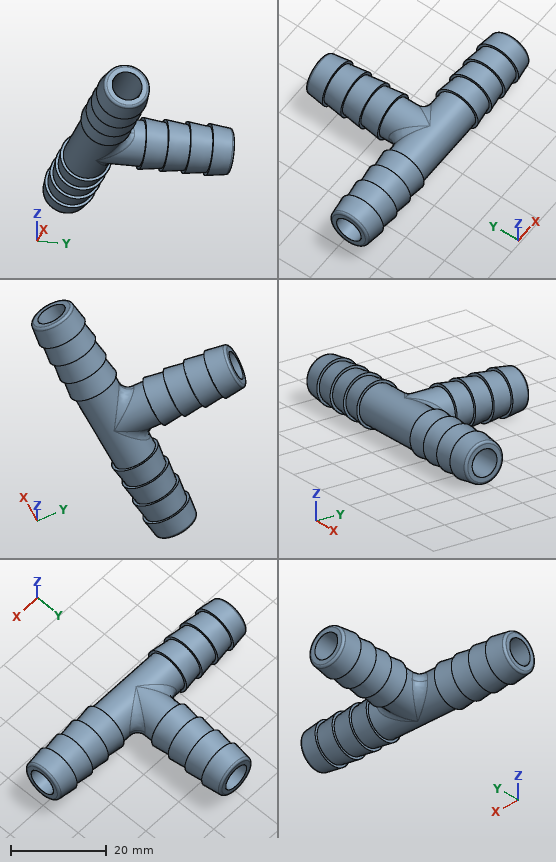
import cadquery as cq

arm_length = 28.575
tube_diameter = 9.65
barb_diameter = 10.92
bore_diameter = 6.35
barb_pitch = 4.7625
barb_count = 4
tip_round = 0.6
crotch_radius = 2.286

tube_radius = tube_diameter / 2
barbed_length = barb_count * barb_pitch
barb_start = arm_length - barbed_length
tube_length = barb_start + barb_pitch / 2

branch_angle = 90
arm_angles = (0, branch_angle, 180)


def place_arm(shape, angle):
    """Turn a shape built along +X onto the arm at the given angle."""
    return shape.rotate((0, 0, 0), (0, 0, 1), angle)


def cylinder_along_x(diameter, start, length):
    return cq.Workplane("YZ").workplane(offset=start).circle(diameter / 2).extrude(length)


def make_tee_body():
    """Plain tubes of the run and the branch, blended in the two crotches."""
    run = cylinder_along_x(tube_diameter, -tube_length, 2 * tube_length)
    branch = place_arm(cylinder_along_x(tube_diameter, 0, tube_length), branch_angle)
    crotch_box = cq.selectors.BoxSelector(
        (-tube_radius, 0, -tube_radius), (tube_radius, tube_radius, tube_radius)
    )
    return run.union(branch).edges(crotch_box).fillet(crotch_radius)


def make_barbs():
    """Row of barbs along +X, each tapering towards the arm end, with a rounded tip."""
    barb_radius = barb_diameter / 2
    profile = cq.Workplane("XY").moveTo(barb_start, 0)
    for index in range(barb_count):
        shoulder = barb_start + index * barb_pitch
        profile = profile.lineTo(shoulder, barb_radius)
        profile = profile.lineTo(shoulder + barb_pitch, tube_radius)
    profile = profile.lineTo(arm_length, 0).close()
    row = profile.revolve(360, (0, 0, 0), (1, 0, 0))
    return row.faces(">X").edges().fillet(tip_round)


def make_bore():
    return cylinder_along_x(bore_diameter, 0, arm_length)


result = make_tee_body()
for arm_angle in arm_angles:
    result = result.union(place_arm(make_barbs(), arm_angle))
for arm_angle in arm_angles:
    result = result.cut(place_arm(make_bore(), arm_angle))